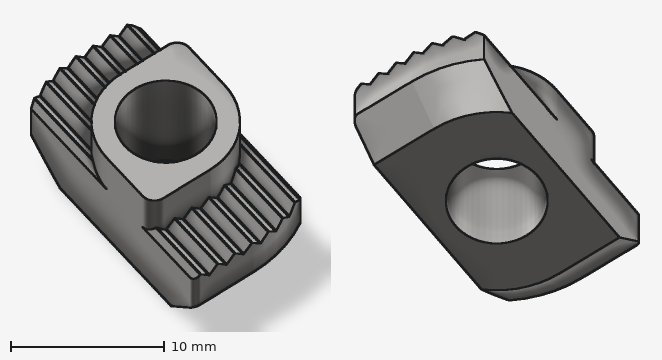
import cadquery as cq
import math

length = 19.0
width = 9.7
height = 8.8
base_height = 5.81
bottom_chamfer = 2.5
hole_diameter = 6.65
base_corner_radius = 0.5
boss_corner_radius = 0.99

tooth_pitch = 1.4
tooth_flat = 0.05
tooth_count = 7
middle_crest_y = -0.142
flank_run = tooth_pitch / 2 - tooth_flat
root_height = base_height - flank_run


def turning_outline(half_length, half_width, start_z):
    """Rectangle with two opposite corners swept by an arc about the origin."""
    arc_end_x = math.sqrt(half_length**2 - half_width**2)
    mid_angle = math.asin(half_width / half_length) / 2
    mid_x = half_length * math.cos(mid_angle)
    mid_y = half_length * math.sin(mid_angle)
    outline = cq.Workplane("XY", origin=(0, 0, start_z)).moveTo(half_length, 0)
    outline = outline.threePointArc((mid_x, mid_y), (arc_end_x, half_width))
    outline = outline.lineTo(-half_length, half_width)
    outline = outline.lineTo(-half_length, 0)
    outline = outline.threePointArc((-mid_x, -mid_y), (-arc_end_x, -half_width))
    outline = outline.lineTo(half_length, -half_width)
    return outline.close()


def round_square_corners(solid, half_length, half_width, radius):
    """Round the two upright corners that the turning arcs leave square."""
    for side in (-1, 1):
        corner = cq.selectors.NearestToPointSelector(
            (side * half_length, -side * half_width, solid.val().Center().z)
        )
        solid = solid.edges("|Z").edges(corner).fillet(radius)
    return solid


def make_base():
    half_length = length / 2
    half_width = width / 2
    plain = turning_outline(half_length, half_width, 0).extrude(base_height)
    sloped = plain.faces("<Z").edges("not |X").chamfer(bottom_chamfer)
    rounded = round_square_corners(plain, half_length, half_width, base_corner_radius)
    return sloped.intersect(rounded)


def make_grooves():
    """V grooves on both sides of every crest, cut through the full length."""
    root_half = tooth_flat / 2
    top_half = root_half + flank_run
    grooves = cq.Workplane("YZ", origin=(-length / 2, 0, 0))
    for index in range(tooth_count + 1):
        root_y = middle_crest_y + (index - tooth_count / 2) * tooth_pitch
        grooves = grooves.moveTo(root_y - top_half, base_height)
        grooves = grooves.lineTo(root_y - root_half, root_height)
        grooves = grooves.lineTo(root_y + root_half, root_height)
        grooves = grooves.lineTo(root_y + top_half, base_height).close()
    return grooves.extrude(length)


def make_boss():
    half_side = width / 2
    boss_start = bottom_chamfer
    boss = turning_outline(half_side, half_side, boss_start).extrude(height - boss_start)
    return round_square_corners(boss, half_side, half_side, boss_corner_radius)


hole = cq.Workplane("XY").circle(hole_diameter / 2).extrude(height)
result = make_base().cut(make_grooves()).union(make_boss()).cut(hole).clean()